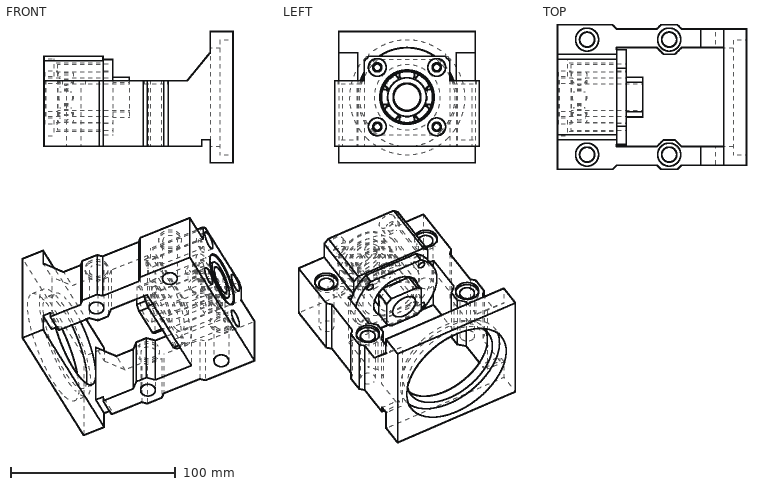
import cadquery as cq


LENGTH = 115.0
FRONT_LENGTH = 36.0
WIDTH = 88.0
BASE_Z = 10.0
DECK_Z = 50.0
AXIS_Z = 40.0

HEAD_WIDTH = 52.0
HEAD_TOP_Z = 65.0
HEAD_CHAMFER = 3.0

ARM_SPAN = 83.0
ARM_GAP = 60.0
STEP = (WIDTH - ARM_SPAN) / 2
GUSSET_START_X = 87.0
GUSSET_TOP_Z = 67.0
RELIEF_START_X = 96.0
RELIEF_TOP_Z = 14.0

PLATE_THICKNESS = 14.0
PLATE_X = LENGTH - PLATE_THICKNESS
PLATE_HEIGHT = 2 * AXIS_Z
MOTOR_HOLE_DIAMETER = 60.0
PILOT_DIAMETER = 70.0
PILOT_DEPTH = 8.0

MOUNT_X = (18.0, 68.0)
MOUNT_Y = 35.0
MOUNT_HOLE_DIAMETER = 9.0
MOUNT_SINK_DIAMETER = 14.0
MOUNT_SINK_DEPTH = 2.0
BOSS_HALF_LENGTH = 7.5
BOSS_INNER_Y = 26.0

SCREW_OFFSET = 18.0
SCREW_HOLE_DIAMETER = 5.5
SCREW_SINK_DIAMETER = 10.8
SCREW_SINK_DEPTH = 6.0
SCREW_THREAD_DIAMETER = 4.3

LIP_THICKNESS = 8.0
LIP_DIAMETER = 32.2
LIP_CHAMFER = 0.5
COLLAR_START_X = 1.0
COLLAR_BORE = 17.0
OUTER_RACE_DIAMETER = 40.0
OUTER_RACE_BORE = 31.0
INNER_RACE_DIAMETER = 23.5
INNER_RACE_BORE = 16.1
BALL_COUNT = 8
BALL_DIAMETER = 9.3
BALL_X = 13.1
COVER_DIAMETER = 58.0
COVER_FLAT_DISTANCE = 23.0
COVER_END_X = 42.0
NUT_END_X = 52.0
NUT_WIDTH = 24.4
NUT_CORNER_DIAMETER = 30.4


def box(x_range, y_range, z_range):
    """Box between the given pairs of limits."""
    size = [high - low for low, high in (x_range, y_range, z_range)]
    corner = cq.Vector(x_range[0], y_range[0], z_range[0])
    return cq.Workplane(obj=cq.Solid.makeBox(*size, corner))


def axial_rod(diameter, start_x, end_x, y=0.0, z=AXIS_Z):
    """Round rod along X."""
    start = cq.Vector(start_x, y, z)
    return cq.Workplane(
        obj=cq.Solid.makeCylinder(diameter / 2, end_x - start_x, start, cq.Vector(1, 0, 0))
    )


def axial_cone(start_diameter, end_diameter, start_x, end_x):
    """Cone on the bearing axis that changes diameter along X."""
    start = cq.Vector(start_x, 0, AXIS_Z)
    cone = cq.Solid.makeCone(
        start_diameter / 2, end_diameter / 2, end_x - start_x, start, cq.Vector(1, 0, 0)
    )
    return cq.Workplane(obj=cone)


def upright_rod(diameter, x, y, start_z, end_z):
    """Round rod along Z."""
    start = cq.Vector(x, y, start_z)
    return cq.Workplane(obj=cq.Solid.makeCylinder(diameter / 2, end_z - start_z, start))


def screw_places():
    """Y and Z of the four cover screws."""
    return [
        (side * SCREW_OFFSET, AXIS_Z + level * SCREW_OFFSET) for side in (-1, 1) for level in (-1, 1)
    ]


def front_block():
    """Front block with bevelled rear corners and a narrower chamfered head."""
    block = box((0, FRONT_LENGTH), (-WIDTH / 2, WIDTH / 2), (BASE_Z, DECK_Z))
    block = block.edges("|Z and >X").chamfer(STEP)
    head = box((0, FRONT_LENGTH), (-HEAD_WIDTH / 2, HEAD_WIDTH / 2), (BASE_Z, HEAD_TOP_Z))
    head = head.edges("|X and >Z").chamfer(HEAD_CHAMFER)
    return block.union(head)


def side_arm():
    """Arm on the +Y side, with a gusset up to the motor plate and a relief under its end."""
    profile = [
        (0, BASE_Z),
        (RELIEF_START_X, BASE_Z),
        (RELIEF_START_X, RELIEF_TOP_Z),
        (PLATE_X, RELIEF_TOP_Z),
        (PLATE_X, GUSSET_TOP_Z),
        (GUSSET_START_X, DECK_Z),
        (0, DECK_Z),
    ]
    thickness = (ARM_SPAN - ARM_GAP) / 2
    arm = cq.Workplane("XZ", origin=(0, ARM_SPAN / 2, 0)).polyline(profile).close().extrude(thickness)
    return arm.union(arm_boss())


def arm_boss():
    """Bolt boss on the +Y arm, standing out on both sides with 45 degree flanks."""
    half = BOSS_HALF_LENGTH
    inner_half = half - (ARM_GAP / 2 - BOSS_INNER_Y)
    outline = [
        (-half, ARM_GAP / 2),
        (-inner_half, BOSS_INNER_Y),
        (inner_half, BOSS_INNER_Y),
        (half, ARM_GAP / 2),
        (half, ARM_SPAN / 2),
        (half - STEP, WIDTH / 2),
        (STEP - half, WIDTH / 2),
        (-half, ARM_SPAN / 2),
    ]
    plane = cq.Workplane("XY", origin=(MOUNT_X[1], 0, BASE_Z))
    return plane.polyline(outline).close().extrude(DECK_Z - BASE_Z)


def motor_plate():
    """End plate with the motor hole and a wider pilot recess in its outer face."""
    plate = box((PLATE_X, LENGTH), (-ARM_SPAN / 2, ARM_SPAN / 2), (0, PLATE_HEIGHT))
    plate = plate.cut(axial_rod(MOTOR_HOLE_DIAMETER, PLATE_X, LENGTH))
    return plate.cut(axial_rod(PILOT_DIAMETER, LENGTH - PILOT_DEPTH, LENGTH))


def make_housing():
    arm = side_arm()
    body = front_block().union(arm).union(arm.mirror("XZ")).union(motor_plate())

    body = body.cut(axial_rod(LIP_DIAMETER, 0, LIP_THICKNESS))
    body = body.cut(axial_cone(LIP_DIAMETER + 2 * LIP_CHAMFER, LIP_DIAMETER, 0, LIP_CHAMFER))
    body = body.cut(axial_rod(OUTER_RACE_DIAMETER, LIP_THICKNESS, FRONT_LENGTH))

    for x in MOUNT_X:
        for y in (-MOUNT_Y, MOUNT_Y):
            body = body.cut(upright_rod(MOUNT_HOLE_DIAMETER, x, y, BASE_Z, DECK_Z))
            body = body.cut(upright_rod(MOUNT_SINK_DIAMETER, x, y, DECK_Z - MOUNT_SINK_DEPTH, DECK_Z))

    for y, z in screw_places():
        body = body.cut(axial_rod(SCREW_HOLE_DIAMETER, 0, FRONT_LENGTH, y, z))
        body = body.cut(axial_rod(SCREW_SINK_DIAMETER, 0, SCREW_SINK_DEPTH, y, z))
    return body


def bearing_cover():
    """Round cover with a flat on top and below, and threaded screw holes."""
    cover = axial_rod(COVER_DIAMETER, FRONT_LENGTH, COVER_END_X)
    half = COVER_DIAMETER / 2
    flat_levels = (AXIS_Z - COVER_FLAT_DISTANCE, AXIS_Z + COVER_FLAT_DISTANCE)
    flats = box((FRONT_LENGTH, COVER_END_X), (-half, half), flat_levels)
    cover = cover.intersect(flats)
    for y, z in screw_places():
        cover = cover.cut(axial_rod(SCREW_THREAD_DIAMETER, FRONT_LENGTH, COVER_END_X, y, z))
    return cover


def lock_nut():
    """Square nut with its corners rounded about the bearing axis."""
    half = NUT_WIDTH / 2
    square = box((COVER_END_X, NUT_END_X), (-half, half), (AXIS_Z - half, AXIS_Z + half))
    return square.intersect(axial_rod(NUT_CORNER_DIAMETER, COVER_END_X, NUT_END_X))


def ball(index):
    """One ball of the ring, midway between the races."""
    pitch_radius = (INNER_RACE_DIAMETER + OUTER_RACE_BORE) / 4
    sphere = cq.Workplane("XY").sphere(BALL_DIAMETER / 2).translate((BALL_X, 0, AXIS_Z + pitch_radius))
    return sphere.rotate((0, 0, AXIS_Z), (1, 0, AXIS_Z), index * 360 / BALL_COUNT)


def outer_sleeve():
    """Outer race and cover in one, with a common bore."""
    sleeve = axial_rod(OUTER_RACE_DIAMETER, LIP_THICKNESS, FRONT_LENGTH).union(bearing_cover())
    return sleeve.cut(axial_rod(OUTER_RACE_BORE, LIP_THICKNESS, COVER_END_X))


def inner_sleeve():
    """Front collar, inner race and nut in one; the collar bore tapers into the race bore."""
    sleeve = axial_rod(INNER_RACE_DIAMETER, COLLAR_START_X, COVER_END_X).union(lock_nut())
    taper_end_x = LIP_THICKNESS + (COLLAR_BORE - INNER_RACE_BORE) / 2
    sleeve = sleeve.cut(axial_rod(COLLAR_BORE, COLLAR_START_X, LIP_THICKNESS))
    sleeve = sleeve.cut(axial_cone(COLLAR_BORE, INNER_RACE_BORE, LIP_THICKNESS, taper_end_x))
    return sleeve.cut(axial_rod(INNER_RACE_BORE, LIP_THICKNESS, NUT_END_X))


def make_bearing_unit():
    """Outer sleeve and inner sleeve, joined by the balls between them."""
    unit = outer_sleeve()
    for index in range(BALL_COUNT):
        unit = unit.union(ball(index))
    return unit.union(inner_sleeve())


housing = make_housing()
bearing_unit = make_bearing_unit()

result = cq.Compound.makeCompound([housing.solids().val(), bearing_unit.solids().val()])